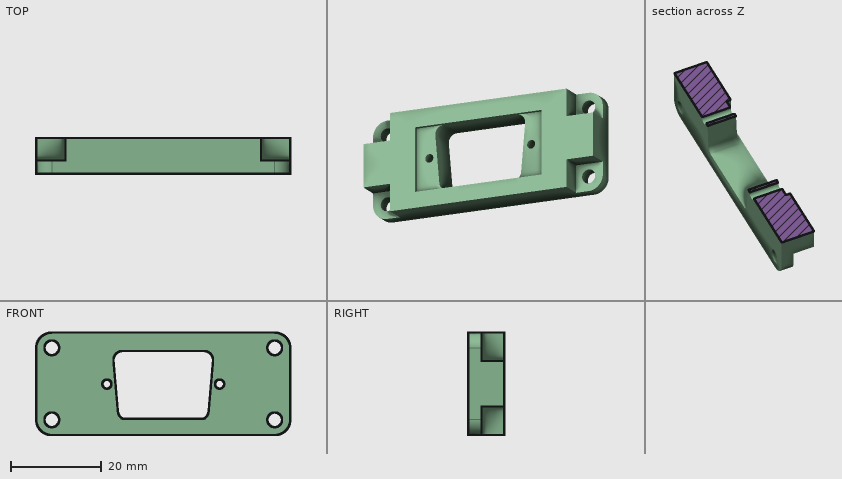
import cadquery as cq
import math

length = 56.5
depth = 8.0
height = 22.8

flange_thickness = 3.0
corner_radius = 3.5
upright_length = 43.4
crossbar_height = 10.05

mount_hole_diameter = 3.2
mount_hole_spacing_x = 49.5
mount_hole_spacing_z = 16.0

screw_hole_diameter = 2.0
screw_hole_spacing = 25.05
screw_hole_drop = 0.05

opening_height = 15.0
opening_mid_width = 21.15
opening_drop = 0.2
opening_side_angle = 5.0
opening_corner_radius = 2.0
floor_rise = 0.2

recess_length = 31.0
recess_depth = 1.0


def block(x_size, z_size, thickness):
    """Plain block centred in X and Z, running back from the front face."""
    return cq.Workplane("XY").box(x_size, thickness, z_size, centered=(True, False, True))


def make_body():
    flange = block(length, height, flange_thickness).edges("|Y").fillet(corner_radius)
    upright = block(upright_length, height, depth)
    crossbar = block(length, crossbar_height, depth)
    return flange.union(upright).union(crossbar)


def make_holes(centres, diameter):
    """Round holes through the full depth at the given (x, z) centres."""
    return cq.Workplane("XZ").pushPoints(centres).circle(diameter / 2).extrude(-depth)


def make_opening():
    """Rounded trapezoid through the full depth, cut flat along its floor."""
    top = opening_height / 2
    bottom = -opening_height / 2 - floor_rise
    taper = math.tan(math.radians(opening_side_angle))
    top_half_width = opening_mid_width / 2 + top * taper
    bottom_half_width = opening_mid_width / 2 + bottom * taper
    trapezoid = (
        cq.Workplane("XZ")
        .polyline([
            (-top_half_width, top),
            (top_half_width, top),
            (bottom_half_width, bottom),
            (-bottom_half_width, bottom),
        ])
        .close()
        .extrude(-depth)
        .edges("|Y")
        .fillet(opening_corner_radius)
    )
    above_floor = block(length, opening_height, depth)
    return trapezoid.intersect(above_floor).translate((0, 0, -opening_drop))


def make_recess():
    recess = block(recess_length, opening_height, recess_depth)
    return recess.translate((0, depth - recess_depth, -opening_drop))


mount_x = mount_hole_spacing_x / 2
mount_z = mount_hole_spacing_z / 2
mount_centres = [(x, z) for x in (-mount_x, mount_x) for z in (-mount_z, mount_z)]
screw_centres = [(side * screw_hole_spacing / 2, -screw_hole_drop) for side in (-1, 1)]

result = (
    make_body()
    .cut(make_holes(mount_centres, mount_hole_diameter))
    .cut(make_holes(screw_centres, screw_hole_diameter))
    .cut(make_opening())
    .cut(make_recess())
)